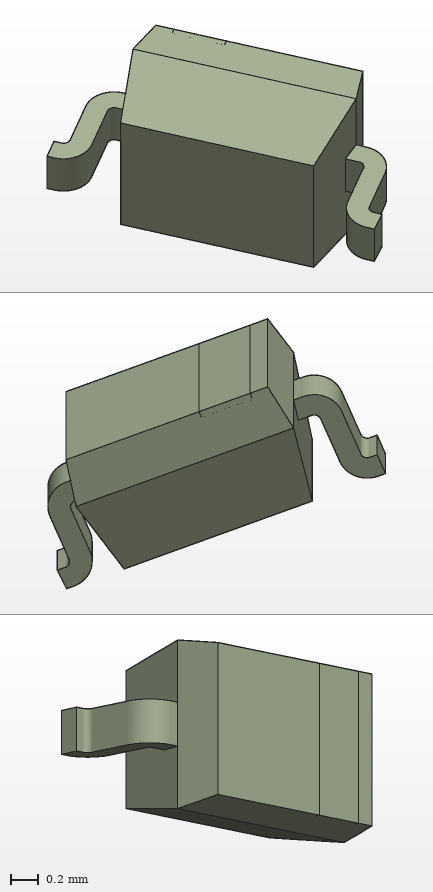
import cadquery as cq
import math

housing_length = 1.7
housing_height = 1.25
back_depth = 0.35
front_depth = 0.65
draft_angle = 10.0

mark_start = -0.65
mark_width = 0.4
mark_thickness = 0.05
mark_height = housing_height - 2 * back_depth * math.tan(math.radians(draft_angle))

lead_thickness = 0.165
lead_width = 0.325
inner_radius = 0.05
outer_radius = inner_radius + lead_thickness
leg_inner_x = 0.975
leg_outer_x = leg_inner_x + lead_thickness
foot_standoff = 0.15
foot_bottom = -(front_depth + foot_standoff)
foot_top = foot_bottom + lead_thickness

left_tip_x = 1.248
right_tip_top_x = 1.252
right_tip_bottom_x = 1.245


def make_half(depth, direction):
    """Tapered half of the housing, growing from Y = 0 along direction * Y."""
    plane = cq.Plane(origin=(0, 0, 0), xDir=(1, 0, 0), normal=(0, direction, 0))
    return (
        cq.Workplane(plane)
        .rect(housing_length, housing_height)
        .extrude(depth, taper=draft_angle)
    )


def make_mark():
    """Bar as tall as the flat back face, with its outside flush with that face."""
    return cq.Workplane("XY").box(mark_width, mark_thickness, mark_height).translate(
        (mark_start + mark_width / 2, back_depth - mark_thickness / 2, 0)
    )


def make_lead(side, tip_top_x, tip_bottom_x, housing_solid):
    """S-shaped lead ending on the sloped housing wall; side is -1 (left) or 1 (right)."""
    diagonal = math.sqrt(0.5)
    shoulder_x = leg_inner_x - inner_radius
    shoulder_y = -outer_radius
    ankle_x = leg_outer_x + inner_radius
    ankle_y = foot_bottom + outer_radius
    root_x = housing_length / 2 - lead_thickness

    def point(x, y):
        return (side * x, y)

    def arc_middle(center_x, center_y, radius, x_sign, y_sign):
        reach = radius * diagonal
        return point(center_x + x_sign * reach, center_y + y_sign * reach)

    strip = (
        cq.Workplane("XY")
        .workplane(offset=-lead_width / 2)
        .moveTo(*point(root_x, 0))
        .lineTo(*point(shoulder_x, 0))
        .threePointArc(
            arc_middle(shoulder_x, shoulder_y, outer_radius, 1, 1),
            point(leg_outer_x, shoulder_y),
        )
        .lineTo(*point(leg_outer_x, ankle_y))
        .threePointArc(
            arc_middle(ankle_x, ankle_y, inner_radius, -1, -1),
            point(ankle_x, foot_top),
        )
        .lineTo(*point(tip_top_x, foot_top))
        .lineTo(*point(tip_bottom_x, foot_bottom))
        .lineTo(*point(ankle_x, foot_bottom))
        .threePointArc(
            arc_middle(ankle_x, ankle_y, outer_radius, -1, -1),
            point(leg_inner_x, ankle_y),
        )
        .lineTo(*point(leg_inner_x, shoulder_y))
        .threePointArc(
            arc_middle(shoulder_x, shoulder_y, inner_radius, 1, 1),
            point(shoulder_x, -lead_thickness),
        )
        .lineTo(*point(root_x, -lead_thickness))
        .close()
        .extrude(lead_width)
    )
    return strip.cut(housing_solid)


mark = make_mark()
housing = make_half(back_depth, 1).union(make_half(front_depth, -1)).cut(mark)

foot_tips = [
    (-1, left_tip_x, left_tip_x),
    (1, right_tip_top_x, right_tip_bottom_x),
]
leads = []
for side, tip_top_x, tip_bottom_x in foot_tips:
    leads.append(make_lead(side, tip_top_x, tip_bottom_x, housing))

result = cq.Compound.makeCompound([housing.val(), mark.val(), *[lead.val() for lead in leads]])